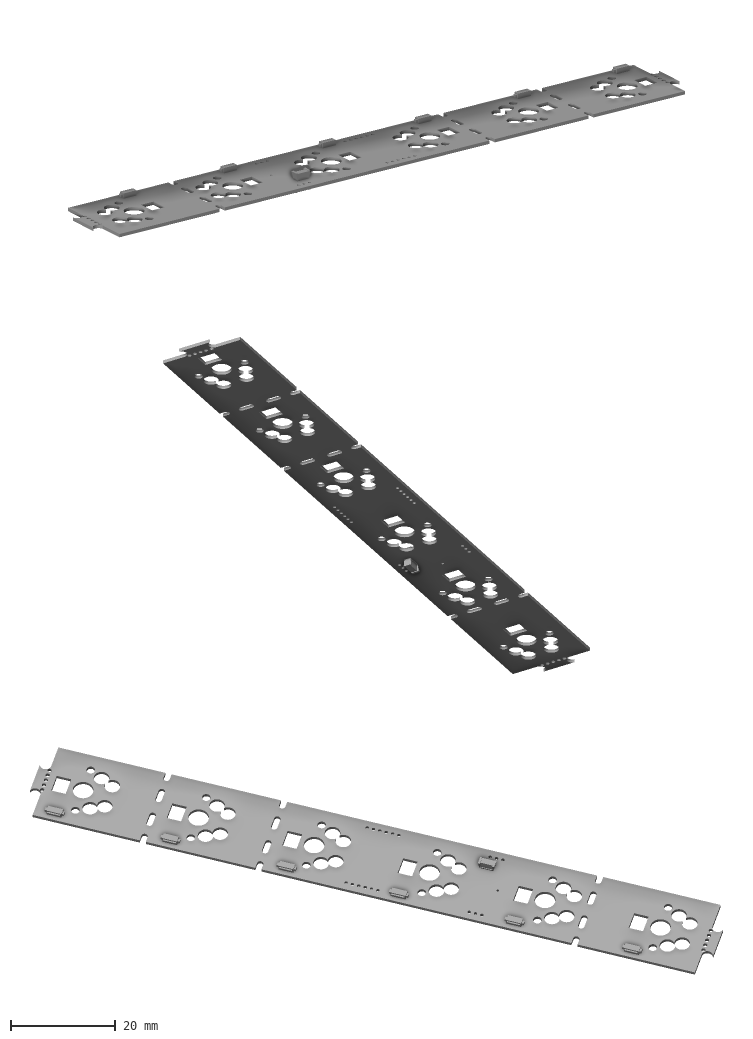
import cadquery as cq

WIDTH = 17.0
LENGTH = 136.2
HEIGHT = 4.0
THICKNESS = 0.7
TOP = THICKNESS / 2

TAB_LENGTH = 2.2
TAB_WIDTH = 6.8
TAB_ARC_DEPTH = 1.0
BODY_LENGTH = LENGTH - 2 * TAB_LENGTH
BODY_END = BODY_LENGTH / 2
TOP_TAB_X = 0.3
BOTTOM_TAB_X = -0.4
BITE_DIAMETER = 0.8
BITE_PITCH = 1.2
BITE_COUNT = 5

GRID = 1.27
CELL_SPAN = 115.0
CELL_COUNT = 6
CELL_PITCH = CELL_SPAN / (CELL_COUNT - 1)
FIRST_CELL_Y = -56.5
CELL_YS = [FIRST_CELL_Y + i * CELL_PITCH for i in range(CELL_COUNT)]
CENTRE_DIAMETER = 4.0
CONTACT_DIAMETER = 3.0
ALIGN_DIAMETER = 1.6
WINDOW_WIDTH = 3.7
WINDOW_HEIGHT = 2.9
WINDOW_OFFSET = 4.4

SLOT_YS = [-42.0, 21.0, 44.0]
SLOT_HEIGHT = 1.2
SLOT_INNER = 1.4
SLOT_OUTER = 4.6
NOTCH_INNER = 6.7

PIN_DIAMETER = 0.65
PIN_X = 7.0
LONG_ROW_COUNT = 6
LONG_ROW_Y = 0.8
SHORT_ROW_COUNT = 3
SHORT_ROW_Y = -21.8
VIA_DIAMETER = 0.5
VIA_X = -0.4
VIA_Y = -24.2

LAMP_YS = [-53.0, -29.5, -6.5, 15.8, 39.0, 62.0]
LAMP_X = -7.0
LAMP_WIDTH = 1.2
LAMP_LENGTH = 3.0
LAMP_HEIGHT = 1.1
TERMINAL_WIDTH = 0.7
TERMINAL_BASE = 0.3
TERMINAL_TOP = 0.8
TERMINAL_REACH = 0.4
LENS_LENGTH = 2.6
LENS_DEPTH = 0.3
LENS_HEIGHT = 0.3
LENS_BASE = 0.5

CONNECTOR_X_MIN = 3.5
CONNECTOR_X_MAX = 5.2
CONNECTOR_Y = -20.7
CONNECTOR_LENGTH = 3.3
CONNECTOR_TOP = HEIGHT / 2
CONNECTOR_FLARE = 0.3
CHEEK_THICKNESS = 0.4
RECESS_DEPTH = 0.4
SILL_HEIGHT = 0.3
RECESS_DROP = 0.1


def through(outline):
    """Extrude a closed outline on the XY plane over the full board thickness."""
    return outline.extrude(TOP, both=True)


def holes(points, diameter):
    """Round through holes at the given points."""
    return through(cq.Workplane("XY").pushPoints(points).circle(diameter / 2))


def tab(centre_x, side):
    """Waisted tab at the end of the board; side is +1 or -1 along Y."""
    half = TAB_WIDTH / 2
    waist = half - TAB_ARC_DEPTH
    inner = side * BODY_END
    middle = side * (BODY_END + TAB_LENGTH / 2)
    outer = side * LENGTH / 2
    outline = (
        cq.Workplane("XY")
        .moveTo(centre_x - half, inner)
        .threePointArc((centre_x - waist, middle), (centre_x - half, outer))
        .lineTo(centre_x + half, outer)
        .threePointArc((centre_x + waist, middle), (centre_x + half, inner))
        .close()
    )
    return through(outline)


def row(count, pitch):
    """Positions of evenly spaced items, centred on zero."""
    return [(i - (count - 1) / 2) * pitch for i in range(count)]


def tab_bites(centre_x, side):
    """Row of break-off holes where a tab meets the board."""
    points = [(centre_x + x, side * BODY_END) for x in row(BITE_COUNT, BITE_PITCH)]
    return holes(points, BITE_DIAMETER)


def cell_cuts(y):
    """Holes and window for one key switch."""
    contacts = [
        (side * column * GRID, y - line * GRID)
        for side in (-1, 1)
        for column, line in ((3, 2), (2, 4))
    ]
    align = [(side * 4 * GRID, y) for side in (-1, 1)]
    window = cq.Workplane("XY").center(0, y + WINDOW_OFFSET).rect(WINDOW_WIDTH, WINDOW_HEIGHT)
    return [
        holes([(0, y)], CENTRE_DIAMETER),
        holes(contacts, CONTACT_DIAMETER),
        holes(align, ALIGN_DIAMETER),
        through(window),
    ]


def slot_cuts(y):
    """Two closed slots and two edge notches across the strip."""
    spans = [(SLOT_INNER, SLOT_OUTER), (NOTCH_INNER, WIDTH / 2 + SLOT_HEIGHT)]
    return [
        through(
            cq.Workplane("XY").center(side * (start + end) / 2, y).slot2D(end - start, SLOT_HEIGHT)
        )
        for side in (-1, 1)
        for start, end in spans
    ]


def pin_cuts():
    """Pin holes along both long edges, a long and a short row on each side."""
    rows = [(LONG_ROW_COUNT, LONG_ROW_Y), (SHORT_ROW_COUNT, SHORT_ROW_Y)]
    points = [
        (side * PIN_X, centre_y + y)
        for side in (-1, 1)
        for count, centre_y in rows
        for y in row(count, GRID)
    ]
    return holes(points, PIN_DIAMETER)


def make_board():
    """Flat strip with its tabs, holes, windows and slots."""
    board = cq.Workplane("XY").box(WIDTH, BODY_LENGTH, THICKNESS)
    cuts = [pin_cuts(), holes([(VIA_X, VIA_Y)], VIA_DIAMETER)]
    for centre_x, side in ((TOP_TAB_X, 1), (BOTTOM_TAB_X, -1)):
        board = board.union(tab(centre_x, side))
        cuts.append(tab_bites(centre_x, side))
    for y in CELL_YS:
        cuts.extend(cell_cuts(y))
    for y in SLOT_YS:
        cuts.extend(slot_cuts(y))
    for cut in cuts:
        board = board.cut(cut)
    return board


def block(x_min, x_max, y, length, z_min, z_max):
    """Box between two X and two Z values, centred on y."""
    return cq.Workplane("XY", origin=((x_min + x_max) / 2, y, z_min)).box(
        x_max - x_min, length, z_max - z_min, centered=(True, True, False)
    )


def make_lamp(y):
    """Side-emitting lamp with a terminal at each end and a lens that faces -X."""
    half_width = LAMP_WIDTH / 2
    half_terminal = TERMINAL_WIDTH / 2
    face_x = LAMP_X - half_width
    terminal_span = LAMP_LENGTH + 2 * TERMINAL_REACH
    lens_bottom = TOP + LENS_BASE
    body = block(face_x, LAMP_X + half_width, y, LAMP_LENGTH, TOP, TOP + LAMP_HEIGHT)
    terminals = block(
        LAMP_X - half_terminal,
        LAMP_X + half_terminal,
        y,
        terminal_span,
        TOP + TERMINAL_BASE,
        TOP + TERMINAL_TOP,
    )
    lens = block(face_x - LENS_DEPTH, face_x, y, LENS_LENGTH, lens_bottom, lens_bottom + LENS_HEIGHT)
    return body.union(terminals).union(lens)


def make_upper_connector():
    """Flared block with a cheek at each end and a recessed middle."""
    half = CONNECTOR_LENGTH / 2
    base_half = half - CONNECTOR_FLARE
    end_profile = [
        (CONNECTOR_X_MIN + CONNECTOR_FLARE, TOP),
        (CONNECTOR_X_MAX, TOP),
        (CONNECTOR_X_MAX, CONNECTOR_TOP),
        (CONNECTOR_X_MIN, CONNECTOR_TOP),
    ]
    side_profile = [
        (CONNECTOR_Y - base_half, TOP),
        (CONNECTOR_Y + base_half, TOP),
        (CONNECTOR_Y + half, CONNECTOR_TOP),
        (CONNECTOR_Y - half, CONNECTOR_TOP),
    ]
    along_y = (
        cq.Workplane("XZ", origin=(0, CONNECTOR_Y, 0)).polyline(end_profile).close().extrude(half, both=True)
    )
    along_x = cq.Workplane("YZ").polyline(side_profile).close().extrude(CONNECTOR_X_MAX)
    recess_length = CONNECTOR_LENGTH - 2 * CHEEK_THICKNESS
    recess_x = CONNECTOR_X_MIN + RECESS_DEPTH
    sill_z = TOP + SILL_HEIGHT
    recess_z = CONNECTOR_TOP - RECESS_DROP
    front_recess = block(CONNECTOR_X_MIN, recess_x, CONNECTOR_Y, recess_length, sill_z, CONNECTOR_TOP)
    top_recess = block(
        CONNECTOR_X_MIN, CONNECTOR_X_MAX, CONNECTOR_Y, recess_length, recess_z, CONNECTOR_TOP
    )
    return along_y.intersect(along_x).cut(front_recess).cut(top_recess)


board = make_board()
lamps = [make_lamp(y) for y in LAMP_YS]
upper_connector = make_upper_connector()
lower_connector = upper_connector.mirror("XY")

result = cq.Compound.makeCompound(
    [
        board.val(),
        *[lamp.val() for lamp in lamps],
        upper_connector.val(),
        lower_connector.val(),
    ]
)